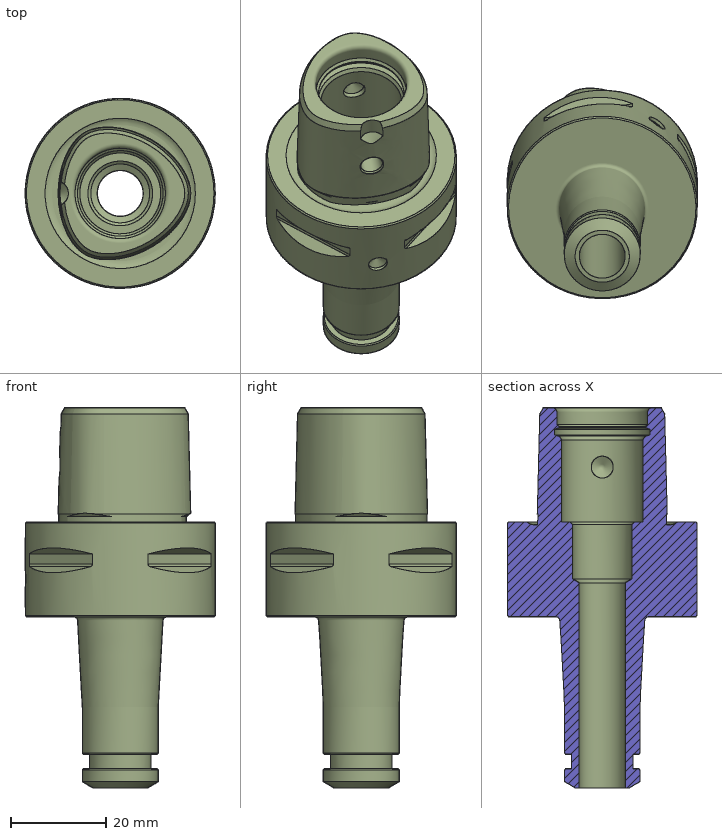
import cadquery as cq
import math


overlap = 1.0

shank_height = 24.0
polygon_mean_radius = 14.0
polygon_eccentricity = 0.88
taper_per_mm = 1 / 40
lead_height = 1.3
lead_inset = 0.75
corner_half_angle = 27.0
neck_height = 1.65
neck_inset = 0.1
neck_radius = 13.95
corner_relief_start = 1.1
corner_relief_rise = 0.8
corner_relief_width = 1.0

flange_radius = 20.0
flange_height = 20.0
flange_chamfer = 0.3
groove_outer_radius = 15.8
groove_inner_radius = 13.0
groove_depth = 0.6
groove_sagitta = 0.15
groove_floor_radius = 14.3

slot_angles = [45, 135, 225, 315]
slot_floor_distance = 17.6
slot_half_width = 9.4
slot_top = -5.5
slot_floor_top = -6.8
slot_floor_bottom = -8.9
slot_step_bottom = -9.4
slot_step_depth = 0.2
slot_bottom = -10.7

pilot_length = 36.0
pilot_radius = 8.0
pilot_root_radius = 9.0
pilot_fillet = 0.8
pilot_taper_end = -39.0
ring_groove_top = -48.9
ring_groove_bottom = -51.9
ring_groove_radius = 6.5
ring_edge_chamfer = 0.25
tip_chamfer_height = 1.35
tip_chamfer_inset = 2.3

entry_radius = 9.5
mouth_fillet = 1.0
entry_end = 3.5
land_radius = 9.0
land_start = 4.0
land_end = 4.2
clamp_groove_radius = 10.0
clamp_groove_start = 4.6
clamp_groove_end = 5.7
clamp_groove_exit = 6.0
main_radius = 8.5
main_start = 6.75
main_end = 24.0
thread_mouth_radius = 6.8
thread_core_radius = 12.38 / 2
thread_end = 36.0
through_radius = 4.8

notch_radius = 2.6
notch_axis = -13.5
notch_depth = 3.8
cross_hole_radius = 2.3
cross_hole_height = 11.5
cross_hole_mouth_radius = 2.6
cross_hole_surface = -12.75
cross_hole_end = 9.5
coding_hole_radius = 2.0
coding_hole_height = -12.0
coding_hole_depth = 0.7
drill_half_angle = 59.0


def polygon_point(mean_radius, normal_angle):
    """Point of the rounded triangle whose outward normal has the given angle (degrees)."""
    a = math.radians(normal_angle)
    e = polygon_eccentricity
    x = mean_radius * math.cos(a) + 2 * e * math.cos(2 * a) - e * math.cos(4 * a)
    y = mean_radius * math.sin(a) - 2 * e * math.sin(2 * a) - e * math.sin(4 * a)
    return (x, y)


def polygon_wire(mean_radius, z):
    """Closed outline of the rounded triangle: three corners and three flatter sides."""
    samples = 8
    edges = []
    for corner in (0, 120, 240):
        bounds = [corner - corner_half_angle, corner + corner_half_angle, corner + 120 - corner_half_angle]
        for start, end in zip(bounds, bounds[1:]):
            angles = [start + (end - start) * i / samples for i in range(samples + 1)]
            points = [cq.Vector(*polygon_point(mean_radius, a), z) for a in angles]
            edges.append(cq.Edge.makeSpline(points))
    return cq.Wire.assembleEdges(edges)


def polygon_loft(lower_radius, lower_z, upper_radius, upper_z):
    wires = [polygon_wire(lower_radius, lower_z), polygon_wire(upper_radius, upper_z)]
    return cq.Workplane(cq.Solid.makeLoft(wires, True))


def revolved(points):
    """Solid of revolution about Z from (radius, z) points."""
    return cq.Workplane("XZ").polyline(points).close().revolve(360, (0, 0), (0, 1))


def shank():
    lead_z = shank_height - lead_height
    lower = polygon_mean_radius - taper_per_mm * neck_height
    upper = polygon_mean_radius - taper_per_mm * lead_z
    neck = lower - neck_inset
    body = polygon_loft(lower, neck_height, upper, lead_z)
    body = body.union(polygon_loft(upper, lead_z, upper - lead_inset, shank_height))
    body = body.union(polygon_loft(neck, -overlap, neck, neck_height))
    relief_top = corner_relief_start + corner_relief_rise
    relief = revolved([
        (neck_radius, -overlap),
        (neck_radius, corner_relief_start),
        (neck_radius + corner_relief_width, relief_top),
        (flange_radius, relief_top),
        (flange_radius, -overlap),
    ])
    return body.cut(relief)


def flange():
    body = cq.Workplane("XY").circle(flange_radius).extrude(-flange_height)
    body = body.faces("<Z or >Z").edges().chamfer(flange_chamfer)
    groove = (
        cq.Workplane("XZ")
        .moveTo(groove_inner_radius, 0)
        .lineTo(groove_inner_radius, -groove_depth)
        .lineTo(groove_floor_radius, -groove_depth)
        .sagittaArc((groove_outer_radius, 0), -groove_sagitta)
        .close()
        .revolve(360, (0, 0), (0, 1))
    )
    return body.cut(groove)


def gripper_slot(angle):
    outside = flange_radius + overlap
    section = [
        (slot_floor_distance, slot_floor_bottom),
        (slot_floor_distance, slot_floor_top),
        (flange_radius, slot_top),
        (outside, slot_top),
        (outside, slot_bottom),
        (flange_radius, slot_bottom),
        (slot_floor_distance + slot_step_depth, slot_step_bottom),
    ]
    slot = cq.Workplane("XZ").polyline(section).close().extrude(slot_half_width, both=True)
    return slot.rotate((0, 0, 0), (0, 0, 1), angle)


def pilot():
    top = -flange_height
    end = top - pilot_length
    c = ring_edge_chamfer
    arc_reach = pilot_fillet * math.cos(math.radians(45))
    fillet_edge = pilot_root_radius + pilot_fillet
    profile = [
        (pilot_radius, pilot_taper_end),
        (pilot_radius, ring_groove_top + c),
        (pilot_radius - c, ring_groove_top),
        (ring_groove_radius, ring_groove_top),
        (ring_groove_radius, ring_groove_bottom),
        (pilot_radius - c, ring_groove_bottom),
        (pilot_radius, ring_groove_bottom - c),
        (pilot_radius, end + tip_chamfer_height),
        (pilot_radius - tip_chamfer_inset, end),
        (0, end),
    ]
    return (
        cq.Workplane("XZ")
        .moveTo(0, top)
        .lineTo(fillet_edge, top)
        .threePointArc(
            (fillet_edge - arc_reach, top - pilot_fillet + arc_reach),
            (pilot_root_radius, top - pilot_fillet),
        )
        .polyline(profile, includeCurrent=True)
        .close()
        .revolve(360, (0, 0), (0, 1))
    )


def bore():
    total = shank_height + flange_height + pilot_length
    cone = (thread_core_radius - through_radius) / math.tan(math.radians(drill_half_angle))
    profile = [
        (entry_radius, entry_end),
        (land_radius, land_start),
        (land_radius, land_end),
        (clamp_groove_radius, clamp_groove_start),
        (clamp_groove_radius, clamp_groove_end),
        (land_radius, clamp_groove_exit),
        (main_radius, main_start),
        (main_radius, main_end),
        (thread_mouth_radius, main_end),
        (thread_core_radius, main_end + thread_mouth_radius - thread_core_radius),
        (thread_core_radius, thread_end),
        (through_radius, thread_end + cone),
        (through_radius, total),
        (0, total),
    ]
    mouth_radius = entry_radius + mouth_fillet
    arc_reach = mouth_fillet * math.cos(math.radians(45))
    return (
        cq.Workplane("XZ", origin=(0, 0, shank_height))
        .moveTo(0, 0)
        .lineTo(mouth_radius, 0)
        .threePointArc(
            (mouth_radius - arc_reach, arc_reach - mouth_fillet),
            (entry_radius, -mouth_fillet),
        )
        .polyline([(r, -depth) for r, depth in profile], includeCurrent=True)
        .close()
        .revolve(360, (0, 0), (0, 1))
    )


def notch():
    """Vertical drilling with a 90 degree conical bottom, cutting the -X flank."""
    floor = shank_height - notch_depth
    return revolved([
        (0, shank_height + overlap),
        (notch_radius, shank_height + overlap),
        (notch_radius, floor),
        (0, floor - notch_radius),
    ]).translate((notch_axis, 0, 0))


def radial_hole(start, end, radius, height):
    """Drilled hole along +X from start to end, with a conical bottom."""
    cone = radius / math.tan(math.radians(drill_half_angle))
    section = [(start, 0), (start, radius), (end, radius), (end + cone, 0)]
    hole = cq.Workplane("XY").polyline(section).close().revolve(360, (0, 0), (1, 0))
    return hole.translate((0, 0, height))


def cross_hole():
    hole = radial_hole(-flange_radius, cross_hole_end, cross_hole_radius, cross_hole_height)
    run = cross_hole_mouth_radius - cross_hole_radius
    section = [
        (-flange_radius, 0),
        (-flange_radius, cross_hole_mouth_radius),
        (cross_hole_surface, cross_hole_mouth_radius),
        (cross_hole_surface + run, cross_hole_radius),
        (cross_hole_surface + run, 0),
    ]
    mouth = cq.Workplane("XY").polyline(section).close().revolve(360, (0, 0), (1, 0))
    return hole.union(mouth.translate((0, 0, cross_hole_height)))


def coding_hole():
    end = -flange_radius + coding_hole_depth
    return radial_hole(-flange_radius - overlap, end, coding_hole_radius, coding_hole_height)


result = flange().union(shank()).union(pilot()).cut(bore()).cut(notch()).cut(cross_hole()).cut(coding_hole())
for slot_angle in slot_angles:
    result = result.cut(gripper_slot(slot_angle))